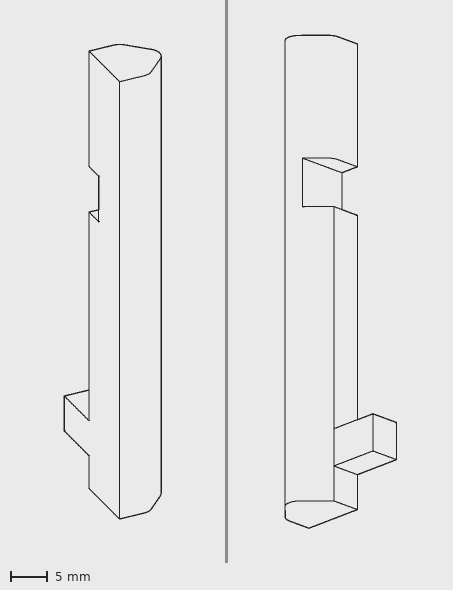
import cadquery as cq

bar_length = 68.0
bar_width = 9.4
shoulder_depth = 4.5
edge_radius = 2.0
arm_reach = 7.55
arm_bottom = 5.1
arm_top = 10.55
notch_bottom = 43.0
notch_top = 50.05
notch_depth = 3.0

ridge_height = shoulder_depth + bar_width / 2


def ridged_bar():
    """Upright bar with a flat face at Y = 0 and a 45 degree ridge facing +Y."""
    return (
        cq.Workplane("XY")
        .polyline([
            (0, 0),
            (bar_width, 0),
            (bar_width, shoulder_depth),
            (bar_width / 2, ridge_height),
            (0, shoulder_depth),
        ])
        .close()
        .extrude(bar_length)
    )


def cut_notch(body):
    """Cut the square notch through the full depth of the -X side."""
    notch = cq.Workplane("XY").box(
        notch_depth, ridge_height, notch_top - notch_bottom, centered=False
    )
    return body.cut(notch.translate((0, 0, notch_bottom)))


def round_edge(body, x, y, z):
    """Round the upright edge nearest to the given point."""
    edge = cq.selectors.NearestToPointSelector((x, y, z))
    return body.edges("|Z").edges(edge).fillet(edge_radius)


def side_arm():
    """Rectangular arm reaching out from the -X side near the bottom."""
    arm = cq.Workplane("XY").box(
        arm_reach, shoulder_depth, arm_top - arm_bottom, centered=False
    )
    return arm.translate((-arm_reach, 0, arm_bottom))


bar = ridged_bar()
bar = round_edge(bar, bar_width / 2, ridge_height, bar_length / 2)
bar = round_edge(bar, bar_width, shoulder_depth, bar_length / 2)

bar = cut_notch(bar)
bar = round_edge(bar, 0, shoulder_depth, (notch_top + bar_length) / 2)

result = bar.union(side_arm())